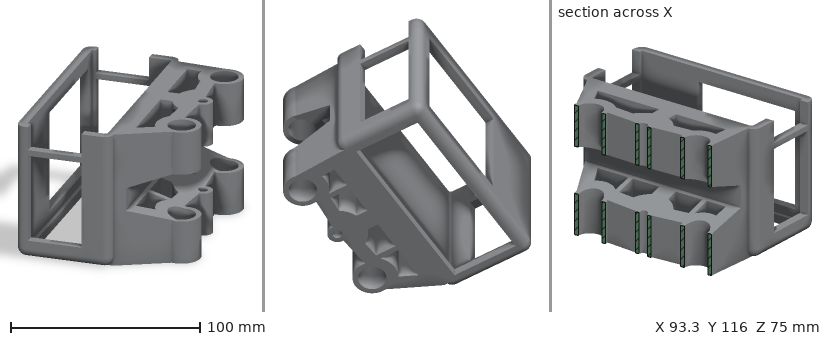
import cadquery as cq
import math


tray_depth = 53.1
tray_length = 116.0
half_length = tray_length / 2
height = 75.0
wall = 5.0
outer_radius = wall
tangent_gap = 0.01
cavity_back = 49.5
recess_depth = 1.5
recess_drop = 0.2

floor_x = (7.0, 44.9)
floor_y = (-50.1, 48.7)
side_x = (7.0, 36.9)
side_sill = 10.1
bar_bottom = 58.7
bar_top = 62.0
front_y = (-16.7, 48.0)
front_z = (10.1, 66.8)

root_half_width = half_length - outer_radius
post_x = 82.9
post_radius = 10.4
post_hole = 15.2
post_spacing = 35.0
pin_y = 6.0
pin_hole = 5.2
pin_boss_radius = 5.3
post_ys = (pin_y - post_spacing, pin_y + post_spacing)
corner_inset = 2.0
rim = 8.0
post_pocket_radius = 14.0
pin_pocket_radius = 16.1
spine_width = 10.9
rib_width = 3.0
rib_offset = 24.5

notch_root_x = 59.0
notch_root_height = 13.0
notch_mouth_x = 82.4
notch_mouth_height = 26.9


def box(x_range, y_range, z_range):
    size = [high - low for low, high in (x_range, y_range, z_range)]
    corner = cq.Vector(x_range[0], y_range[0], z_range[0])
    return cq.Workplane("XY").box(*size, centered=False).translate(corner)


def column(x, y, radius):
    return cq.Workplane("XY").center(x, y).circle(radius).extrude(height)


def make_tray_body():
    body = box((0, tray_depth), (-half_length, half_length), (0, height))
    return body.edges("|Z").fillet(outer_radius).faces("<Z").edges().fillet(outer_radius - tangent_gap)


def make_cavity():
    half_cavity = half_length - wall
    recess_front = cavity_back - recess_depth
    across = (-half_cavity, half_cavity)
    top = height + wall
    cavity = box((wall, recess_front), across, (wall, top))
    recess = box((recess_front, cavity_back), across, (wall - recess_drop, top))
    recess = recess.edges(">X and |Z").fillet(recess_depth - tangent_gap)
    return cavity.union(recess)


def make_openings():
    floor_window = box(floor_x, floor_y, (-wall, 2 * wall))
    front_window = box((-wall, 2 * wall), front_y, front_z)
    across = (-tray_length, tray_length)
    lower_side_window = box(side_x, across, (side_sill, bar_bottom))
    upper_side_gap = box(side_x, across, (bar_top, height + wall))
    return floor_window.union(front_window).union(lower_side_window).union(upper_side_gap)


def bracket_outline():
    corner_x = post_x - corner_inset
    reach = math.sqrt(post_radius**2 - corner_inset**2)
    low_y, high_y = post_ys
    return cq.Workplane("XY").polyline([
        (tray_depth, -root_half_width),
        (corner_x, low_y - reach),
        (corner_x, low_y + reach),
        (post_x, pin_y),
        (corner_x, high_y - reach),
        (corner_x, high_y + reach),
        (tray_depth, root_half_width),
    ]).close()


def make_pockets():
    pockets = bracket_outline().offset2D(-rim, "intersection").extrude(height)
    for y in post_ys:
        pockets = pockets.cut(column(post_x, y, post_pocket_radius))
    pockets = pockets.cut(column(post_x, pin_y, pin_pocket_radius))
    half_spine = spine_width / 2
    spine = box((tray_depth, post_x), (pin_y - half_spine, pin_y + half_spine), (0, height))
    pockets = pockets.cut(spine)
    for side in (-1, 1):
        rib_y = pin_y + side * rib_offset
        rib_span = (rib_y - rib_width / 2, rib_y + rib_width / 2)
        pockets = pockets.cut(box((tray_depth, post_x), rib_span, (0, height / 2)))
    return pockets


def make_notch():
    middle = height / 2
    half_root = notch_root_height / 2
    half_mouth = notch_mouth_height / 2
    notch_end = post_x + 2 * post_radius
    return (
        cq.Workplane("XZ")
        .polyline([
            (notch_root_x, middle - half_root),
            (notch_mouth_x, middle - half_mouth),
            (notch_end, middle - half_mouth),
            (notch_end, middle + half_mouth),
            (notch_mouth_x, middle + half_mouth),
            (notch_root_x, middle + half_root),
        ])
        .close()
        .extrude(tray_length, both=True)
    )


def make_bracket():
    bracket = bracket_outline().extrude(height)
    root_x = (tray_depth - outer_radius, tray_depth)
    root_y = (-root_half_width, root_half_width)
    bracket = bracket.union(box(root_x, root_y, (0, height)))
    for y in post_ys:
        bracket = bracket.union(column(post_x, y, post_radius))
    bracket = bracket.union(column(post_x, pin_y, pin_boss_radius))
    bracket = bracket.cut(make_pockets())
    for y in post_ys:
        bracket = bracket.cut(column(post_x, y, post_hole / 2))
    bracket = bracket.cut(column(post_x, pin_y, pin_hole / 2))
    return bracket.cut(make_notch())


result = make_tray_body().union(make_bracket()).cut(make_cavity()).cut(make_openings())